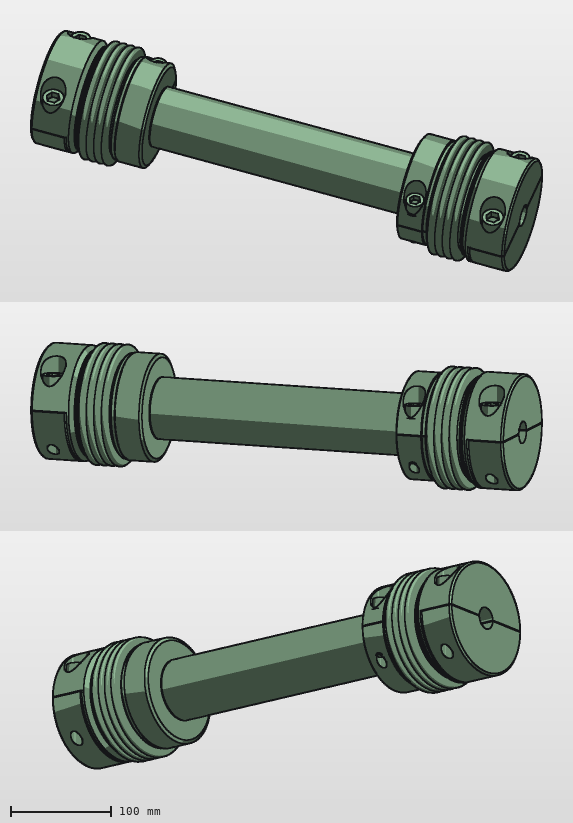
import cadquery as cq
import math

total_length = 500.0
tube_diameter = 62.0
tube_neck_diameter = 60.0
tube_neck_length = 1.0
bore_diameter = 22.0

outer_hub_radius = 58.0
outer_hub_length = 40.5
edge_chamfer = 2.0
slit_width = 1.0
cap_length = 36.0
cap_gap = 2.0

collar_radius = 53.5
collar_end = 48.0
collar_chamfer = 0.75
bellows_root_radius = 49.5
fin_radius = 61.0
fin_count = 4
fin_start = 51.5
fin_width = 5.0
fin_pitch = 8.0

inner_hub_radius = 54.0
inner_hub_chamfer = 3.5
inner_hub_chamfer_height = 2.0
inner_hub_start = 83.0
rim_radius = 53.0
rim_width = 5.0
rim_chamfer = 0.75
inner_hub_end = 115.5

screw_offset = 40.0
outer_screw_x = 18.0
inner_screw_x = 100.0
outer_screw = dict(thread=14.0, core=12.0, head=21.0, counterbore=25.0, head_top=34.5, socket=12.0)
inner_screw = dict(thread=12.0, core=10.0, head=18.0, counterbore=22.0, head_top=28.5, socket=10.0)
shank_depth = 30.0
drill_point_angle = 118.0


def disc(start, end, radius):
    return cq.Workplane("YZ").workplane(offset=start).circle(radius).extrude(end - start)


def pin(x, y, bottom, top, diameter):
    """Vertical cylinder between two heights."""
    return cq.Workplane("XY", origin=(x, y, bottom)).circle(diameter / 2).extrude(top - bottom)


def box_between(x_range, y_range, z_range):
    size = [high - low for low, high in (x_range, y_range, z_range)]
    corner = (x_range[0], y_range[0], z_range[0])
    return cq.Workplane("XY").box(*size, centered=False).translate(corner)


def bellows():
    """Turned bellows whose fin tips and the roots between fins are full rounds."""
    tip_round = fin_width / 2
    root_round = (fin_pitch - fin_width) / 2
    tip_base = fin_radius - tip_round
    root_top = bellows_root_radius + root_round
    rim_end = inner_hub_start + rim_width
    profile = cq.Workplane("XY").moveTo(outer_hub_length, 0).lineTo(outer_hub_length, bellows_root_radius)
    profile = profile.lineTo(fin_start, bellows_root_radius)
    for index in range(fin_count):
        start = fin_start + index * fin_pitch
        end = start + fin_width
        profile = profile.lineTo(start, tip_base)
        profile = profile.threePointArc((start + tip_round, fin_radius), (end, tip_base))
        if index < fin_count - 1:
            root_middle = (end + root_round, bellows_root_radius)
            profile = profile.lineTo(end, root_top)
            profile = profile.threePointArc(root_middle, (start + fin_pitch, root_top))
    profile = profile.lineTo(end, bellows_root_radius).lineTo(rim_end, bellows_root_radius)
    return profile.lineTo(rim_end, 0).close().revolve(360, (0, 0, 0), (1, 0, 0))


def end_body():
    """Turned shape of the left end, without slits and screws."""
    cone_end = outer_hub_length + outer_hub_radius - collar_radius
    outer_hub = disc(0, outer_hub_length, outer_hub_radius).faces("<X").chamfer(edge_chamfer)
    cone = cq.Workplane(
        cq.Solid.makeCone(
            outer_hub_radius,
            collar_radius,
            cone_end - outer_hub_length,
            cq.Vector(outer_hub_length, 0, 0),
            cq.Vector(1, 0, 0),
        )
    )
    collar = disc(cone_end, collar_end, collar_radius).edges().chamfer(collar_chamfer)
    rim = disc(inner_hub_start, inner_hub_start + rim_width, rim_radius).edges().chamfer(rim_chamfer)
    inner_hub = disc(inner_hub_start + rim_width, inner_hub_end, inner_hub_radius)
    inner_hub = inner_hub.faces(">X").chamfer(inner_hub_chamfer_height, inner_hub_chamfer)
    return outer_hub.union(cone).union(bellows()).union(collar).union(rim).union(inner_hub)


def cut_slits(body):
    """Split the outer hub right across, and the inner hub on its +Y side."""
    slit_z = (-slit_width / 2, slit_width / 2)
    full_width = (-fin_radius, fin_radius)
    outer_slit = box_between((0, cap_length + cap_gap), full_width, slit_z)
    cap_slot = box_between((cap_length, cap_length + cap_gap), full_width, (-fin_radius, slit_width / 2))
    inner_slit = box_between((inner_hub_start, inner_hub_end), (tube_neck_diameter / 2, fin_radius), slit_z)
    return body.cut(outer_slit).cut(cap_slot).cut(inner_slit)


def add_screw(body, x, y, screw):
    """Counterbored socket-head screw; the threaded hole runs out of the bottom."""
    seat = screw["head_top"] - screw["thread"]
    body = body.cut(pin(x, y, seat, fin_radius, screw["counterbore"]))
    body = body.cut(pin(x, y, -fin_radius, 0, screw["core"]))
    body = body.union(pin(x, y, seat, screw["head_top"], screw["head"]))
    body = body.union(pin(x, y, -shank_depth, seat, screw["thread"]))

    socket_depth = screw["thread"] / 2
    socket_floor = screw["head_top"] - socket_depth
    across_corners = screw["socket"] / math.cos(math.pi / 6)
    hexagon = cq.Workplane("XY", origin=(x, y, socket_floor)).polygon(6, across_corners).extrude(socket_depth)
    point_radius = screw["socket"] / 2
    point_depth = point_radius / math.tan(math.radians(drill_point_angle / 2))
    point = cq.Solid.makeCone(
        point_radius, 0, point_depth, cq.Vector(x, y, socket_floor), cq.Vector(0, 0, -1)
    )
    return body.cut(hexagon).cut(cq.Workplane(point))


def coupling_end():
    body = cut_slits(end_body())
    body = body.cut(disc(0, inner_hub_end, bore_diameter / 2))
    for y in (-screw_offset, screw_offset):
        body = add_screw(body, outer_screw_x, y, outer_screw)
    return add_screw(body, inner_screw_x, screw_offset, inner_screw)


left_end = coupling_end()
right_end = left_end.rotate((total_length / 2, 0, 0), (total_length / 2, 0, 1), 180)
neck_end = inner_hub_end + tube_neck_length
tube = disc(inner_hub_end, total_length - inner_hub_end, tube_neck_diameter / 2)
tube = tube.union(disc(neck_end, total_length - neck_end, tube_diameter / 2))
tube = tube.cut(disc(0, total_length, bore_diameter / 2))
result = left_end.union(tube).union(right_end)